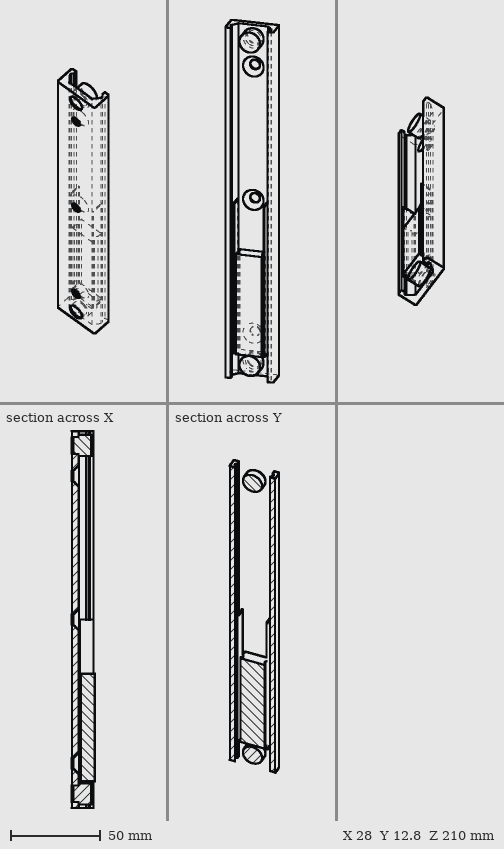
import cadquery as cq
import math


rail_length = 210.0
rail_width = 28.0
rail_depth = 12.2
floor_thickness = 4.0
floor_half_width = 8.6
lip_half_width = 10.7
raceway_centre = 8.6
raceway_flat_width = 1.3
raceway_half_width = 11.8
lip_thickness = 2.0
corner_radius = 0.8

mounting_hole_diameter = 5.7
mounting_hole_pitch = 80.0
countersink_diameter = 12.0
countersink_angle = 90.0

stop_pin_diameter = 9.0
stop_head_diameter = 12.0
stop_end_distance = 8.0
stop_pin_recess = 0.8
stop_top = 11.0

overall_depth = 12.8
slider_width = 15.0
slider_length = 60.0
slider_start = 15.0
slider_floor_clearance = 1.0
slider_groove_depth = 0.8
slider_groove_height = 2.7

cage_thickness = 0.6
cage_inner_half_width = 8.5
cage_floor_clearance = 0.6
cage_length = 90.0
cage_start = slider_start

rail_middle = rail_length / 2
mounting_hole_heights = [rail_middle + step * mounting_hole_pitch for step in (-1, 0, 1)]
stop_heights = [stop_end_distance, rail_length - stop_end_distance]


def cylinder_along_y(diameter, start, end, height):
    """Cylinder on the middle plane of the rail, from Y = start to Y = end, at Z = height."""
    return (
        cq.Workplane("XZ", origin=(0, start, height))
        .circle(diameter / 2)
        .extrude(start - end)
    )


def make_countersunk_bore(height):
    """Tool body for a through hole whose countersink opens on the inner face of the rail floor."""
    hole_radius = mounting_hole_diameter / 2
    sink_radius = countersink_diameter / 2
    sink_depth = (sink_radius - hole_radius) / math.tan(math.radians(countersink_angle / 2))
    bore = cylinder_along_y(mounting_hole_diameter, 0, floor_thickness, height)
    sink = cq.Solid.makeCone(
        sink_radius,
        hole_radius,
        sink_depth,
        pnt=cq.Vector(0, floor_thickness, height),
        dir=cq.Vector(0, -1, 0),
    )
    return bore.union(cq.Workplane(sink))


def make_rail():
    """C-shaped rail with a V raceway, flat at its root, in each side wall and holes through its floor."""
    half_width = rail_width / 2
    half_rail = (
        cq.Workplane("XY")
        .lineTo(half_width, 0)
        .lineTo(half_width, rail_depth)
        .lineTo(lip_half_width, rail_depth)
        .lineTo(lip_half_width, rail_depth - lip_thickness)
        .lineTo(raceway_half_width, raceway_centre + raceway_flat_width / 2)
        .lineTo(raceway_half_width, raceway_centre - raceway_flat_width / 2)
        .lineTo(floor_half_width, floor_thickness)
        .lineTo(0, floor_thickness)
        .close()
        .extrude(rail_length)
        .edges("|Z and >X")
        .fillet(corner_radius)
    )
    rail = half_rail.mirror("YZ", union=True).clean()
    for height in mounting_hole_heights:
        rail = rail.cut(make_countersunk_bore(height))
    for height in stop_heights:
        rail = rail.cut(cylinder_along_y(stop_pin_diameter, 0, floor_thickness, height))
    return rail


def make_end_stop(height):
    """Stepped plug: a pin pressed into the rail floor and a wider head standing on it."""
    pin = cylinder_along_y(stop_pin_diameter, stop_pin_recess, floor_thickness, height)
    head = cylinder_along_y(stop_head_diameter, floor_thickness, stop_top, height)
    return pin.union(head)


def make_slider():
    """Block with a rounded ball groove along each side."""
    half_width = slider_width / 2
    bottom = floor_thickness + slider_floor_clearance
    groove_low = raceway_centre - slider_groove_height / 2
    groove_high = raceway_centre + slider_groove_height / 2
    groove_root = half_width - slider_groove_depth
    return (
        cq.Workplane("XY", origin=(0, 0, slider_start))
        .moveTo(-half_width, bottom)
        .lineTo(half_width, bottom)
        .lineTo(half_width, groove_low)
        .threePointArc((groove_root, raceway_centre), (half_width, groove_high))
        .lineTo(half_width, overall_depth)
        .lineTo(-half_width, overall_depth)
        .lineTo(-half_width, groove_high)
        .threePointArc((-groove_root, raceway_centre), (-half_width, groove_low))
        .close()
        .extrude(slider_length)
    )


def make_cage(side):
    """Thin flat strip between the slider and one side wall; side is -1 or 1."""
    bottom = floor_thickness + cage_floor_clearance
    height = rail_depth - bottom
    middle = side * (cage_inner_half_width + cage_thickness / 2)
    return (
        cq.Workplane("XY", origin=(middle, bottom + height / 2, cage_start))
        .rect(cage_thickness, height)
        .extrude(cage_length)
    )


rail = make_rail()
end_stops = [make_end_stop(height) for height in stop_heights]
slider = make_slider()
cages = [make_cage(side) for side in (-1, 1)]

result = cq.Compound.makeCompound(
    [rail.val(), slider.val()]
    + [end_stop.val() for end_stop in end_stops]
    + [cage.val() for cage in cages]
)